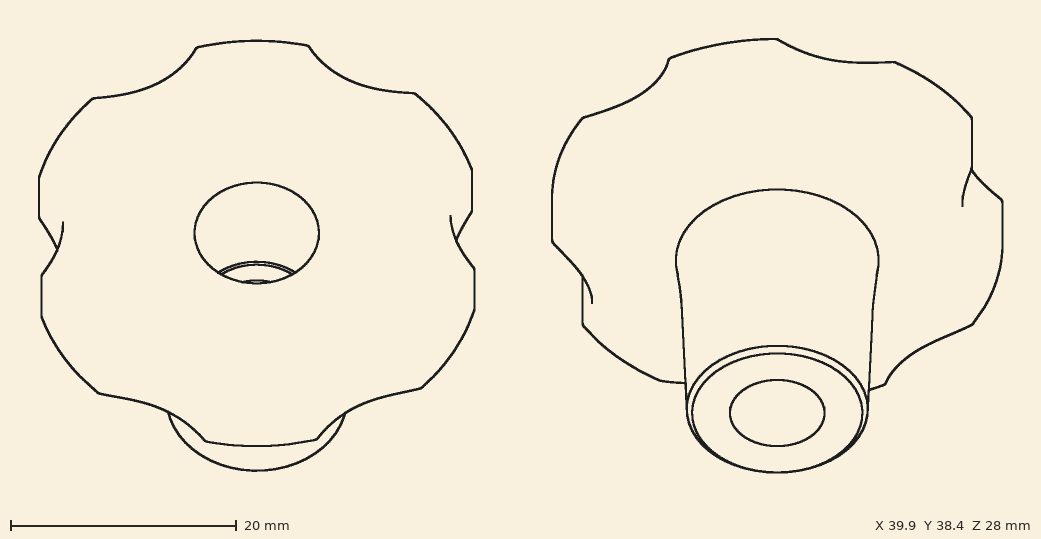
import cadquery as cq
import math

total_height = 28.0
head_thickness = 9.1
head_bottom = total_height - head_thickness
neck_start = 14.0

head_radius = 19.95
crown_flat_radius = 15.2
upper_crown_radius = 10.95
lower_crown_radius = 7.38
lobe_count = 6
scallop_floor_distance = 17.15
scallop_radius = 7.78
edge_fillet = 0.48

dish_floor_radius = 7.7
dish_depth = 2.67
dish_blend_length = 0.3

stem_bottom_radius = 8.0
stem_top_radius = 8.5
neck_top_radius = 8.97
stem_chamfer = 0.48

bore_diameter = 11.0
through_diameter = 8.37
countersink_diameter = 10.35
bore_depth = 11.95
bore_floor = total_height - dish_depth - bore_depth


def crown_drop(crown_radius, radial_distance):
    """How far a crown has fallen from its flat at a distance from the axis."""
    offset = radial_distance - crown_flat_radius
    return crown_radius - math.sqrt(crown_radius**2 - offset**2)


def make_head():
    middle = (crown_flat_radius + head_radius) / 2
    lower_drop = crown_drop(lower_crown_radius, head_radius)
    lower_middle_drop = crown_drop(lower_crown_radius, middle)
    upper_drop = crown_drop(upper_crown_radius, head_radius)
    upper_middle_drop = crown_drop(upper_crown_radius, middle)
    head = (
        cq.Workplane("XZ")
        .moveTo(0, head_bottom)
        .lineTo(crown_flat_radius, head_bottom)
        .threePointArc((middle, head_bottom + lower_middle_drop), (head_radius, head_bottom + lower_drop))
        .lineTo(head_radius, total_height - upper_drop)
        .threePointArc((middle, total_height - upper_middle_drop), (crown_flat_radius, total_height))
        .lineTo(0, total_height)
        .close()
        .revolve(360, (0, 0, 0), (0, 1, 0))
    )
    scallops = (
        cq.Workplane("XY")
        .workplane(offset=head_bottom)
        .polarArray(scallop_floor_distance + scallop_radius, 90, 360, lobe_count)
        .circle(scallop_radius)
        .extrude(head_thickness)
    )
    head = head.cut(scallops)
    lobe_edges = []
    for edge in head.edges().vals():
        center = edge.Center()
        if math.hypot(center.x, center.y) > crown_flat_radius + edge_fillet:
            lobe_edges.append(edge)
    return head.newObject(lobe_edges).fillet(edge_fillet)


def make_dish():
    floor = total_height - dish_depth
    rim_corner = crown_flat_radius - dish_blend_length
    floor_corner = dish_floor_radius + dish_blend_length
    slope = math.atan2(dish_depth, rim_corner - floor_corner)
    blend_radius = dish_blend_length / math.tan(slope / 2)

    def floor_blend(angle):
        return (
            dish_floor_radius + blend_radius * math.sin(angle),
            floor + blend_radius * (1 - math.cos(angle)),
        )

    def rim_blend(angle):
        return (
            crown_flat_radius - blend_radius * math.sin(angle),
            total_height - blend_radius * (1 - math.cos(angle)),
        )

    return (
        cq.Workplane("XZ")
        .moveTo(0, floor)
        .lineTo(dish_floor_radius, floor)
        .threePointArc(floor_blend(slope / 2), floor_blend(slope))
        .lineTo(*rim_blend(slope))
        .threePointArc(rim_blend(slope / 2), (crown_flat_radius, total_height))
        .lineTo(0, total_height)
        .close()
        .revolve(360, (0, 0, 0), (0, 1, 0))
    )


def make_stem():
    return (
        cq.Workplane("XZ")
        .polyline([
            (0, 0),
            (stem_bottom_radius - stem_chamfer, 0),
            (stem_bottom_radius, stem_chamfer),
            (stem_top_radius, neck_start),
            (neck_top_radius, head_bottom),
            (0, head_bottom),
        ])
        .close()
        .revolve(360, (0, 0, 0), (0, 1, 0))
    )


def make_bore():
    through_radius = through_diameter / 2
    countersink_radius = countersink_diameter / 2
    bore_radius = bore_diameter / 2
    return (
        cq.Workplane("XZ")
        .polyline([
            (0, 0),
            (through_radius, 0),
            (through_radius, bore_floor - (countersink_radius - through_radius)),
            (countersink_radius, bore_floor),
            (bore_radius, bore_floor),
            (bore_radius, total_height),
            (0, total_height),
        ])
        .close()
        .revolve(360, (0, 0, 0), (0, 1, 0))
    )


result = make_head().cut(make_dish()).union(make_stem()).cut(make_bore())